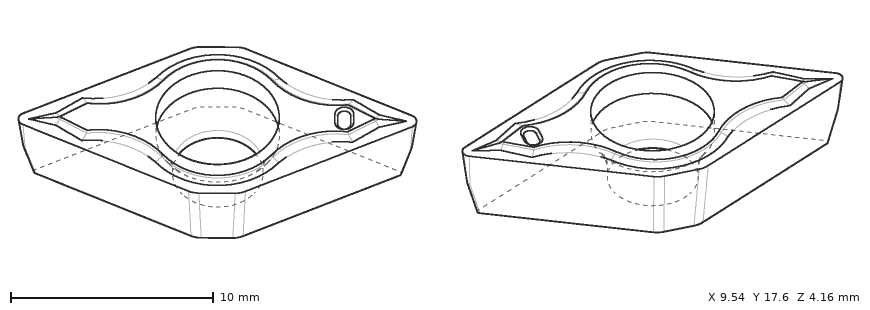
import cadquery as cq
import math

inscribed_radius = 4.768
length = 17.56
height = 4.16
land_height = 3.97
relief_angle = 7
nose_angle = 55
diagonal_angle = 90 - nose_angle / 2

sharp_tip = inscribed_radius / math.sin(math.radians(nose_angle / 2))
tip_rise = math.sin(math.radians(diagonal_angle))
nose_radius = (sharp_tip * tip_rise - length / 2) / (
    tip_rise / math.sin(math.radians(nose_angle / 2)) - 1
)
lower_nose_radius = 0.15
blunt_radius = 1.1
nose_zone_size = 3.51
flank_clearance = 0.35
nose_break_height = 1.98

bore_diameter = 4.5
mouth_diameter = 6.11
mouth_depth = 1.33
seat_radius = 3.51

shoulder_height = 4.11
lobe_radius = 3.83
lobe_end_angle = 53
base_lobe_reach = 4.27
shoulder_inset = 0.39
top_inset = 0.5
base_tip = (9.35, 0)
base_neck = (7.99, 0.4)
base_barb = (6.69, 1.39)
base_waist = (4.27, 1.8)
shoulder_tip = (7.97, 0)
shoulder_neck = (7.81, 0.1)
shoulder_barb = (6.48, 1.0)
shoulder_waist = (4.16, 1.35)
top_tip = (7.8, 0)
top_neck = (7.7, 0.07)
top_barb = (6.45, 0.88)
top_waist = (4.13, 1.23)

dimple_position = 6.27
dimple_length = 1.45
dimple_width = 0.93
dimple_depth = 0.14
dimple_wall_angle = 45


def section_radius(z):
    """Radius of the circle that every side wall touches at height z."""
    return inscribed_radius - (land_height - z) * math.tan(math.radians(relief_angle))


def nose_section(z, corner_radius):
    """Rhombus with the nose rounding at its tips, its flanks bulged clear of the flat sides."""
    half_angle = math.radians(nose_angle / 2)
    radius = section_radius(z)
    side_corner = radius / math.cos(half_angle) + flank_clearance
    arc_center = (radius - corner_radius) / math.sin(half_angle)
    arc_end = arc_center + corner_radius * math.sin(half_angle)
    arc_half_width = corner_radius * math.cos(half_angle)
    arc_tip = arc_center + corner_radius
    return (
        cq.Workplane("XY", origin=(0, 0, z))
        .moveTo(arc_end, -arc_half_width)
        .threePointArc((arc_tip, 0), (arc_end, arc_half_width))
        .lineTo(0, side_corner)
        .lineTo(-arc_end, arc_half_width)
        .threePointArc((-arc_tip, 0), (-arc_end, -arc_half_width))
        .lineTo(0, -side_corner)
        .close()
        .val()
    )


def plateau_section(z, inset, tip, neck, barb, waist):
    """Plateau outline at height z, mirrored about both diagonals."""
    reach = base_lobe_reach - inset
    radius = lobe_radius - inset
    end_angle = math.radians(lobe_end_angle)
    lobe_end = (radius * math.sin(end_angle), reach - radius * (1 - math.cos(end_angle)))

    def place(point, along, across):
        return (point[0] * along, point[1] * across)

    outline = cq.Workplane("XY", origin=(0, 0, z)).moveTo(*tip)
    for side in (1, -1):
        outline = (
            outline.lineTo(*place(neck, side, side))
            .lineTo(*place(barb, side, side))
            .threePointArc(place(waist, side, side), place(lobe_end, side, side))
            .threePointArc((0, reach * side), place(lobe_end, -side, side))
            .threePointArc(place(waist, -side, side), place(barb, -side, side))
            .lineTo(*place(neck, -side, side))
        )
        outline = outline.lineTo(*place(tip, -side, side)) if side == 1 else outline.close()
    return outline.val()


def ruled_solid(lower, upper):
    return cq.Workplane(cq.Solid.makeLoft([lower, upper], True))


def make_sharp_block():
    """Six flat relieved sides, rounded only at the blunt corners."""
    blunt_half_length = inscribed_radius * math.tan(math.radians(nose_angle / 4))
    outline = [
        (sharp_tip, 0),
        (blunt_half_length, inscribed_radius),
        (-blunt_half_length, inscribed_radius),
        (-sharp_tip, 0),
        (-blunt_half_length, -inscribed_radius),
        (blunt_half_length, -inscribed_radius),
    ]
    block = (
        cq.Workplane("XY", origin=(0, 0, land_height))
        .polyline(outline)
        .close()
        .extrude(-land_height, taper=relief_angle)
    )
    rising_edges = block.edges().filter(lambda edge: 0.1 < edge.Center().z / land_height < 0.9)
    blunt_edges = rising_edges.filter(lambda edge: abs(edge.Center().y) > inscribed_radius / 2)
    return blunt_edges.fillet(blunt_radius)


def make_body():
    """Relieved block with noses that widen, above the break, to the full nose radius."""
    bottom = nose_section(0, lower_nose_radius)
    middle = nose_section(nose_break_height, lower_nose_radius)
    top = nose_section(land_height, nose_radius)
    rounded = ruled_solid(bottom, middle).union(ruled_solid(middle, top))
    nose_zone = (
        cq.Workplane("XY")
        .pushPoints([(sharp_tip, 0), (-sharp_tip, 0)])
        .rect(nose_zone_size, nose_zone_size)
        .extrude(land_height)
    )
    return make_sharp_block().cut(nose_zone.cut(rounded))


def make_plateau():
    base = plateau_section(land_height, 0, base_tip, base_neck, base_barb, base_waist)
    shoulder = plateau_section(
        shoulder_height, shoulder_inset, shoulder_tip, shoulder_neck, shoulder_barb, shoulder_waist
    )
    top = plateau_section(height, top_inset, top_tip, top_neck, top_barb, top_waist)
    return ruled_solid(base, shoulder).union(ruled_solid(shoulder, top))


def make_hole():
    """Through bore with a rounded screw seat below a wider cylindrical mouth."""
    bore_radius = bore_diameter / 2
    mouth_radius = mouth_diameter / 2
    seat_top = height - mouth_depth
    arc_center = bore_radius + seat_radius
    arc_sweep = math.acos((arc_center - mouth_radius) / seat_radius)
    seat_bottom = seat_top - seat_radius * math.sin(arc_sweep)
    seat_middle = (
        arc_center - seat_radius * math.cos(arc_sweep / 2),
        seat_bottom + seat_radius * math.sin(arc_sweep / 2),
    )
    return (
        cq.Workplane("XZ")
        .lineTo(bore_radius, 0)
        .lineTo(bore_radius, seat_bottom)
        .threePointArc(seat_middle, (mouth_radius, seat_top))
        .lineTo(mouth_radius, height)
        .lineTo(0, height)
        .close()
        .revolve(360, (0, 0), (0, 1))
    )


def make_dimple():
    return (
        cq.Workplane("XY", origin=(dimple_position, 0, height))
        .slot2D(dimple_length, dimple_width, 90)
        .extrude(-dimple_depth, taper=dimple_wall_angle)
    )


insert = make_body().union(make_plateau()).cut(make_hole()).cut(make_dimple())
result = insert.rotate((0, 0, 0), (0, 0, 1), diagonal_angle)